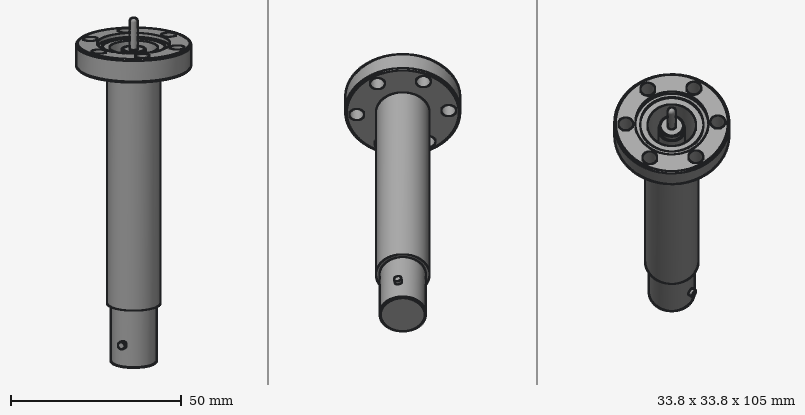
import cadquery as cq

overall_length = 104.95

flange_diameter = 33.78
flange_thickness = 7.24
flange_chamfer = 0.5
bolt_count = 6
bolt_circle_diameter = 26.97
bolt_hole_diameter = 4.37

recess_diameter = 21.4
recess_depth = 1.3
knife_edge_diameter = 18.5
knife_edge_depth = 0.75
seal_floor_depth = 1.3

tube_diameter = 15.75
body_diameter = 13.6
body_length = 17.9
body_chamfer = 0.35

bore_diameter = 14.2
bore_floor_above_body = 2.0
collar_crown_diameter = 11.0
collar_height = 1.5
collar_round = (bore_diameter - collar_crown_diameter) / 2
funnel_bottom_diameter = 9.4
funnel_depth = 1.0

insulator_diameter = 7.8
insulator_nose_diameter = 7.1
insulator_nose_chamfer = 0.25
insulator_nose_length = 2.2
insulator_top_depth = 1.7
pin_diameter = 2.4
pin_projection = 7.75
pin_tip_round = 1.1

lug_diameter = 2.2
lug_tip_radius = 8.05
lug_height_above_end = 7.0
lug_axis_angle = 22.5

bottom_level = pin_projection - overall_length
body_top_level = bottom_level + body_length
bore_floor_level = body_top_level + bore_floor_above_body
lug_level = bottom_level + lug_height_above_end


def cylinder(diameter, bottom, top):
    """Upright cylinder on the Z axis between two levels."""
    return cq.Workplane("XY").workplane(offset=bottom).circle(diameter / 2).extrude(top - bottom)


def make_flange():
    """Chamfered disc with its ring of bolt holes."""
    disc = cylinder(flange_diameter, -flange_thickness, 0)
    disc = disc.faces("<Z or >Z").chamfer(flange_chamfer)
    holes = (
        cq.Workplane("XY")
        .polarArray(bolt_circle_diameter / 2, 90, 360, bolt_count)
        .circle(bolt_hole_diameter / 2)
        .extrude(-flange_thickness)
    )
    return disc.cut(holes)


def make_tube_and_body():
    """Plain tube stepping down to the connector body."""
    tube = cylinder(tube_diameter, body_top_level, -flange_thickness)
    body = cylinder(body_diameter, bottom_level, body_top_level)
    body = body.faces("<Z").chamfer(body_chamfer)
    return tube.union(body)


def make_seal_and_bore_cut():
    """Turned cavity: seal recess, knife edge, bore and the collar left on its floor."""
    crown_level = bore_floor_level + collar_height
    funnel_level = crown_level - funnel_depth
    return (
        cq.Workplane("XZ")
        .moveTo(0, 0)
        .lineTo(recess_diameter / 2, 0)
        .lineTo(recess_diameter / 2, -recess_depth)
        .lineTo(knife_edge_diameter / 2, -knife_edge_depth)
        .lineTo(knife_edge_diameter / 2, -seal_floor_depth)
        .lineTo(bore_diameter / 2, -seal_floor_depth)
        .lineTo(bore_diameter / 2, bore_floor_level)
        .radiusArc((collar_crown_diameter / 2, crown_level), -collar_round)
        .lineTo(funnel_bottom_diameter / 2, funnel_level)
        .lineTo(0, funnel_level)
        .close()
        .revolve(360, (0, 0, 0), (0, 1, 0))
    )


def make_insulator():
    """Long centre insulator with a reduced nose."""
    nose_base_level = -insulator_top_depth - insulator_nose_length
    barrel = cylinder(insulator_diameter, body_top_level, nose_base_level)
    nose = cylinder(insulator_nose_diameter, body_top_level, -insulator_top_depth)
    nose = nose.faces(">Z").chamfer(insulator_nose_chamfer)
    return barrel.union(nose)


def make_pin():
    """Contact pin with a rounded tip."""
    pin = cylinder(pin_diameter, body_top_level, pin_projection)
    return pin.faces(">Z").edges().fillet(pin_tip_round)


def make_lugs():
    """Single cross bar whose two ends form the bayonet lugs."""
    bar = cq.Workplane("XZ").circle(lug_diameter / 2).extrude(lug_tip_radius, both=True)
    return bar.rotate((0, 0, 0), (0, 0, 1), lug_axis_angle).translate((0, 0, lug_level))


shell = make_flange().union(make_tube_and_body()).cut(make_seal_and_bore_cut())
result = shell.union(make_insulator()).union(make_pin()).union(make_lugs())